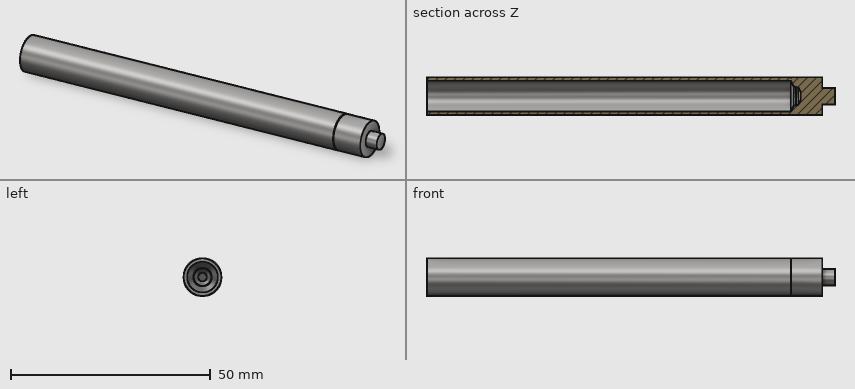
import math

import cadquery as cq

overall_length = 102.3
tube_diameter = 9.55

plug_length = 7.8
plug_diameter = 9.5
groove_width = 0.15
groove_diameter = 9.4
spigot_length = 3.2
spigot_diameter = 4.2
tube_length = overall_length - spigot_length - plug_length - groove_width

bore_diameter = 7.7
bore_depth = tube_length
funnel_angle = 124
step_diameters = [4.65, 4.35]
step_length = 0.5
floor_diameter = 2.15

start_x = -overall_length / 2
tube_end_x = start_x + tube_length
plug_start_x = tube_end_x + groove_width
plug_end_x = plug_start_x + plug_length
end_x = overall_length / 2


def funnel_depth(wide_diameter, narrow_diameter):
    """Axial length of a funnel that tapers between two diameters."""
    return (wide_diameter - narrow_diameter) / 2 / math.tan(math.radians(funnel_angle / 2))


def turn(outline):
    """Turn a closed (x, radius) outline about the X axis."""
    return cq.Workplane("XZ").polyline(outline).close().revolve(360, (0, 0, 0), (1, 0, 0))


def make_body():
    """Tube, groove, end plug and spigot as one stepped round body."""
    return turn([
        (start_x, 0),
        (start_x, tube_diameter / 2),
        (tube_end_x, tube_diameter / 2),
        (tube_end_x, groove_diameter / 2),
        (plug_start_x, groove_diameter / 2),
        (plug_start_x, plug_diameter / 2),
        (plug_end_x, plug_diameter / 2),
        (plug_end_x, spigot_diameter / 2),
        (end_x, spigot_diameter / 2),
        (end_x, 0),
    ])


def make_bore():
    """Straight bore whose funnel is set back at each step and ends in a small flat floor."""
    outline = [(start_x, 0), (start_x, bore_diameter / 2)]
    x = start_x + bore_depth
    diameter = bore_diameter
    outline.append((x, diameter / 2))
    for step_diameter in step_diameters:
        x += funnel_depth(diameter, step_diameter)
        outline.append((x, step_diameter / 2))
        x += step_length
        outline.append((x, step_diameter / 2))
        diameter = step_diameter
    x += funnel_depth(diameter, floor_diameter)
    outline.append((x, floor_diameter / 2))
    outline.append((x, 0))
    return turn(outline)


result = make_body().cut(make_bore())